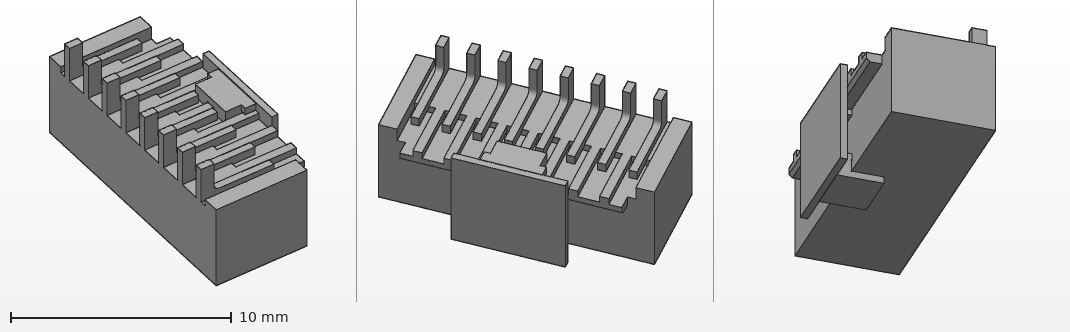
import cadquery as cq
import math

housing_length = 13.3
housing_depth = 5.0
end_wall_top = 4.45
end_wall_thickness = 0.9
deck_top = 4.1
inner_length = housing_length - 2 * end_wall_thickness

ledge_length = 10.7
ledge_back = 5.75
ledge_bottom = 3.27
ledge_chamfer = 0.17

channel_front = 2.72
channel_floor = 3.75
rib_width = 0.45

terminal_count = 8
terminal_pitch = 1.5
terminal_width = 0.4
terminal_post_top = 6.0
terminal_post_depth = 0.72
terminal_arm_top = 4.45
terminal_arm_thickness = 0.45
terminal_arm_end = 4.0
terminal_bend_radius = 0.28

clip_clearance = 0.04
plate_length = 5.5
plate_back = 6.1
plate_height = 5.0
plate_bottom = -0.43
clip_inset = 0.05

tongue_head_length = 3.0
tongue_head_depth = 0.6
tongue_length = 2.4
tongue_front = 4.27

bar_height = 0.28

hook_length = 2.45
hook_top = 0.88
hook_contact_bottom = 0.56
hook_front = 3.47


def block(length, front, back, bottom, top, x=0.0):
    """Box of the given X length centred on x, between the given Y and Z limits."""
    return (
        cq.Workplane("XY")
        .box(length, back - front, top - bottom, centered=(True, False, False))
        .translate((x, front, bottom))
    )


def make_ledge():
    """Rear overhang with its lower rear edge chamfered."""
    ledge = block(ledge_length, housing_depth, ledge_back, ledge_bottom, deck_top)
    return ledge.edges("|X and >Y and <Z").chamfer(ledge_chamfer)


def make_terminal(x):
    """L-shaped terminal: a post at the front and an arm running back in its channel."""
    arm_bottom = terminal_arm_top - terminal_arm_thickness
    bend_inset = terminal_bend_radius * (1 - math.sqrt(0.5))
    bend_middle = (terminal_post_depth + bend_inset, terminal_arm_top + bend_inset)
    bend_end = (terminal_post_depth + terminal_bend_radius, terminal_arm_top)
    profile = (
        cq.Workplane("YZ")
        .moveTo(0, deck_top)
        .lineTo(0, terminal_post_top)
        .lineTo(terminal_post_depth, terminal_post_top)
        .lineTo(terminal_post_depth, terminal_arm_top + terminal_bend_radius)
        .threePointArc(bend_middle, bend_end)
        .lineTo(terminal_arm_end, terminal_arm_top)
        .lineTo(terminal_arm_end, arm_bottom)
        .lineTo(channel_front, arm_bottom)
        .lineTo(channel_front, deck_top)
        .close()
    )
    return profile.extrude(terminal_width / 2, both=True).translate((x, 0, 0))


def make_housing():
    body = block(housing_length, 0, housing_depth, 0, end_wall_top)
    body = body.cut(block(inner_length, 0, housing_depth, deck_top, end_wall_top))
    body = body.union(make_ledge())
    body = body.cut(block(inner_length, channel_front, ledge_back, channel_floor, deck_top))
    for i in range(terminal_count - 1):
        rib_x = (i - (terminal_count - 2) / 2) * terminal_pitch
        body = body.union(block(rib_width, channel_front, ledge_back, channel_floor, deck_top, rib_x))
    for i in range(terminal_count):
        terminal_x = (i - (terminal_count - 1) / 2) * terminal_pitch
        body = body.union(make_terminal(terminal_x))
    return body


def make_clip():
    plate_top = plate_bottom + plate_height
    clip = block(plate_length, ledge_back, plate_back, plate_bottom, plate_top)

    tongue_bottom = deck_top + clip_clearance
    tongue_top = plate_top - clip_inset
    head_front = ledge_back - tongue_head_depth
    clip = clip.union(block(tongue_head_length, head_front, ledge_back, tongue_bottom, tongue_top))
    clip = clip.union(block(tongue_length, tongue_front, ledge_back, tongue_bottom, tongue_top))

    key_inner_x = rib_width / 2 + clip_clearance
    key_outer_x = tongue_length / 2
    key_bottom = channel_floor + clip_clearance
    for side in (-1, 1):
        key_x = side * (key_inner_x + key_outer_x) / 2
        key_width = key_outer_x - key_inner_x
        clip = clip.union(block(key_width, tongue_front, ledge_back, key_bottom, tongue_bottom, key_x))

    bar_top = ledge_bottom - clip_clearance
    clip = clip.union(block(tongue_length, housing_depth, ledge_back, bar_top - bar_height, bar_top))

    hook_bottom = plate_bottom + clip_inset
    riser_front = housing_depth + clip_clearance
    clip = clip.union(block(hook_length, housing_depth, ledge_back, hook_contact_bottom, hook_top))
    clip = clip.union(block(hook_length, riser_front, ledge_back, hook_bottom, hook_contact_bottom))
    clip = clip.union(block(hook_length, hook_front, ledge_back, hook_bottom, -clip_clearance))
    return clip


housing = make_housing()
clip = make_clip()

result = cq.Compound.makeCompound([housing.val(), clip.val()])